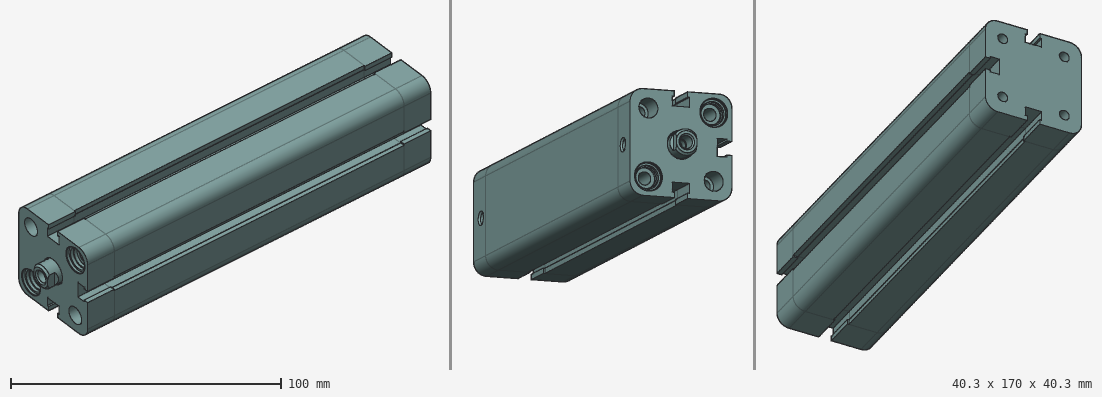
import cadquery as cq

side = 40.3
total_length = 170.0
rod_protrusion = 6.0
cap_length = 12.8
corner_radius = 5.1
rod_tip_y = -total_length / 2
front_face_y = rod_tip_y + rod_protrusion
rear_face_y = total_length / 2
tube_start_y = front_face_y + cap_length
tube_end_y = rear_face_y - cap_length

slot_depth = 5.8
slot_width = 6.8
slot_lip_depth = 2.0
cap_slot_mouth = 5.3
tube_slot_mouth = 6.5
slot_angles = (0, 90, 180)

mount_offset = 13.0
through_diameter = 4.0
bore_diameter = 5.0
bore_depth = 17.0
plain_counterbore_diameter = 7.5
plain_counterbore_depth = 10.2
mouth_diameter = 11.0
recess_diameter = 10.5
recess_depth = 1.4
step_diameter = 9.0
step_depth = 2.7
thread_diameter = 8.0
thread_depth = 4.0

port_mouth_diameter = 5.5
port_diameter = 4.0
port_bottom_diameter = 2.0
port_inset = 7.6
port_depth = 4.0
port_total_depth = 6.0

rod_diameter = 10.0
rod_chamfer = 0.8
rod_clearance_diameter = 10.9
rod_clearance_depth = 1.0
flat_spacing = 8.0
flat_length = 3.4
rod_hole_mouth_diameter = 6.1
rod_hole_diameter = 5.0
rod_hole_depth = 6.8
rod_hole_bottom_diameter = 4.0
rod_hole_total_depth = 10.2


def plane_y(x, y, z):
    """Plane through a point with its normal along +Y."""
    return cq.Plane((x, y, z), (1, 0, 0), (0, 1, 0))


def cylinder(plane, diameter, length):
    """Cylinder along the plane normal."""
    return cq.Workplane(plane).circle(diameter / 2).extrude(length)


def countersink(plane, mouth, end):
    """45 degree cone narrowing from the mouth diameter to the end diameter."""
    depth = (mouth - end) / 2
    return cq.Workplane(plane).circle(mouth / 2).workplane(offset=depth).circle(end / 2).loft()


def body_section(slot_mouth, start_y, end_y):
    """Rounded square bar between two Y positions with a stepped slot in three sides."""
    length = end_y - start_y
    section = cq.Workplane(plane_y(0, start_y, 0)).rect(side, side).extrude(length)
    section = section.edges("|Y").fillet(corner_radius)
    middle_y = (start_y + end_y) / 2
    half_side = side / 2
    cavity_height = slot_depth - slot_lip_depth
    cavity_z = half_side - slot_depth + cavity_height / 2
    cavity = cq.Workplane().box(slot_width, length, cavity_height).translate((0, middle_y, cavity_z))
    lip_z = half_side - slot_lip_depth / 2
    lip_gap = cq.Workplane().box(slot_mouth, length, slot_lip_depth).translate((0, middle_y, lip_z))
    slot = cavity.union(lip_gap)
    for angle in slot_angles:
        section = section.cut(slot.rotate((0, 0, 0), (0, 1, 0), angle))
    return section


def plain_mount(x, z):
    """Through hole with a single counterbore in the front face."""
    plane = plane_y(x, front_face_y, z)
    hole = cylinder(plane, through_diameter, total_length)
    hole = hole.union(cylinder(plane, bore_diameter, bore_depth))
    return hole.union(cylinder(plane, plain_counterbore_diameter, plain_counterbore_depth))


def stepped_mount(x, z):
    """Through hole with a countersunk, stepped counterbore in the front face."""
    plane = plane_y(x, front_face_y, z)
    hole = cylinder(plane, through_diameter, total_length)
    hole = hole.union(cylinder(plane, bore_diameter, bore_depth))
    hole = hole.union(cylinder(plane, thread_diameter, thread_depth))
    hole = hole.union(cylinder(plane, step_diameter, step_depth))
    hole = hole.union(cylinder(plane, recess_diameter, recess_depth))
    return hole.union(countersink(plane, mouth_diameter, recess_diameter))


def air_port(y):
    """Countersunk two-diameter port entering from the -X side."""
    plane = cq.Plane((-side / 2, y, 0), (0, 1, 0), (1, 0, 0))
    port = cylinder(plane, port_bottom_diameter, port_total_depth)
    port = port.union(cylinder(plane, port_diameter, port_depth))
    return port.union(countersink(plane, port_mouth_diameter, port_diameter))


def piston_rod():
    """Rod end with a chamfered tip, two wrench flats on +-X and a threaded hole."""
    rod = cylinder(plane_y(0, rod_tip_y, 0), rod_diameter, rod_protrusion + rod_clearance_depth)
    rod = rod.faces("<Y").chamfer(rod_chamfer)
    flat_x = flat_spacing / 2
    flat_end_y = rod_tip_y + flat_length
    run_out = (rod_diameter - flat_spacing) / 2
    flat = (
        cq.Workplane()
        .moveTo(flat_x, rod_tip_y)
        .lineTo(flat_x, flat_end_y)
        .lineTo(flat_x + run_out, flat_end_y + run_out)
        .lineTo(flat_x + run_out, rod_tip_y)
        .close()
        .extrude(rod_diameter / 2, both=True)
    )
    return rod.cut(flat).cut(flat.mirror("YZ"))


def rod_hole():
    """Countersunk blind hole in the rod tip, continuing into the body."""
    plane = plane_y(0, rod_tip_y, 0)
    hole = cylinder(plane, rod_hole_bottom_diameter, rod_hole_total_depth)
    hole = hole.union(cylinder(plane, rod_hole_diameter, rod_hole_depth))
    return hole.union(countersink(plane, rod_hole_mouth_diameter, rod_hole_diameter))


front_cap = body_section(cap_slot_mouth, front_face_y, tube_start_y)
tube = body_section(tube_slot_mouth, tube_start_y, tube_end_y)
rear_cap = body_section(cap_slot_mouth, tube_end_y, rear_face_y)
body = front_cap.union(tube, clean=False).union(rear_cap, clean=False)

for side_sign in (-1, 1):
    x = side_sign * mount_offset
    body = body.cut(plain_mount(x, -x), clean=False)
    body = body.cut(stepped_mount(x, x), clean=False)

for port_y in (front_face_y + port_inset, rear_face_y - port_inset):
    body = body.cut(air_port(port_y), clean=False)

rod_clearance = cylinder(plane_y(0, front_face_y, 0), rod_clearance_diameter, rod_clearance_depth)
body = body.cut(rod_clearance, clean=False)
result = body.union(piston_rod(), clean=False).cut(rod_hole(), clean=False)